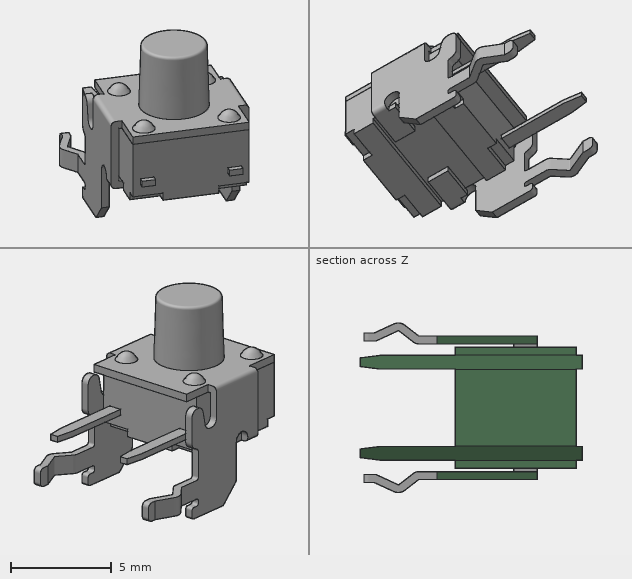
import cadquery as cq
import math


sheet = 0.41
cover_half_y = 3.56
leg_inner_y = cover_half_y - sheet
bend_radius = 0.25
plate_left = -3.75
wing_left = -2.11
wing_right = 1.08

base_half = 3.0
base_top = -sheet
base_bottom = -3.3
foot_height = 0.4
foot_bottom = base_bottom - foot_height
foot_inner_x = 1.35
foot_outer_x = 2.49
toe_half_y = 1.44

button_base_radius = 1.75
button_top_radius = 1.65
button_top = 3.34
button_round = 0.15
rivet_offset = 2.2
rivet_radius = 0.56
rivet_height = 0.41
rivet_crown_reach = 0.32

leg_left = -4.0
leg_right = -0.59
leg_bottom = -6.5
leg_chamfer = 1.0
finger_top = -0.68
finger_tip_right = -3.21
slot_bottom = -2.02
slot_bottom_left = -2.93
finger_round = 0.4
shoulder_left_z = -2.68
shoulder_right_z = -2.88
shoulder_inner_round = 0.2
neck_left = -3.51
neck_round = 0.14
hook_top = -5.88
hook_round = 0.15
relief_radius = 0.44
relief_x = leg_right + relief_radius
relief_z = -3.43
tab_left = -0.1
tab_inner_y = toe_half_y

arm_top = -4.51
arm_bottom = -5.51
arm_end = -7.51
arm_end_round = 0.25
first_fold_round = sheet
peak_outer_round = 0.54
peak_inner_round = 0.07
first_fold = (-4.81, cover_half_y)
peak_fold = (-5.8, 3.82)
last_fold = (-7.01, 3.71)

pin_left = -7.7
pin_right = 3.3
pin_taper_end = -6.71
pin_y = 2.25
pin_width = 0.69
pin_tip_width = 0.44
pin_top = -2.35
pin_thickness = 0.32

pick_margin = 0.01


def box(x_range, y_range, z_range):
    """Axis-aligned block given by its limits along X, Y and Z."""
    sides = [high - low for low, high in (x_range, y_range, z_range)]
    corner = (x_range[0], y_range[0], z_range[0])
    return cq.Workplane("XY").box(*sides, centered=False).translate(corner)


def make_pin(y):
    """Flat terminal lying along X, tapered to a narrower tip at its -X end."""
    half = pin_width / 2
    tip = pin_tip_width / 2
    outline = [
        (pin_left, -tip),
        (pin_taper_end, -half),
        (pin_right, -half),
        (pin_right, half),
        (pin_taper_end, half),
        (pin_left, tip),
    ]
    flat = cq.Workplane("XY").polyline(outline).close().extrude(-pin_thickness)
    return flat.translate((0, y, pin_top))


def make_rivet():
    """Rivet shank through the cover, with a domed head."""
    return (
        cq.Workplane("XZ")
        .moveTo(0, base_top)
        .lineTo(rivet_radius, base_top)
        .lineTo(rivet_radius, 0)
        .bezier([(rivet_crown_reach, rivet_height), (0, rivet_height)], includeCurrent=True)
        .close()
        .revolve(360, (0, 0, 0), (0, 1, 0))
    )


def make_button():
    """Tapered push button with a rounded top edge, rooted in the base."""
    profile = [
        (0, base_top),
        (button_base_radius, base_top),
        (button_base_radius, 0),
        (button_top_radius, button_top),
        (0, button_top),
    ]
    body = cq.Workplane("XZ").polyline(profile).close().revolve(360, (0, 0, 0), (0, 1, 0))
    return body.faces(">Z").edges().fillet(button_round)


def make_base():
    """Square block with two stepped feet, the button and the rivets."""
    full_y = (-base_half, base_half)
    toe_y = (-toe_half_y, toe_half_y)
    foot_z = (foot_bottom, base_bottom)
    base = box(full_y, full_y, (base_bottom, base_top))
    foot = box((foot_inner_x, foot_outer_x), full_y, foot_z)
    toe = box((foot_outer_x, base_half), toe_y, foot_z)
    right_foot = foot.union(toe)
    base = base.union(right_foot).union(right_foot.mirror("YZ")).union(make_button())
    rivet = make_rivet()
    for x in (-rivet_offset, rivet_offset):
        for y in (-rivet_offset, rivet_offset):
            base = base.union(rivet.translate((x, y, 0)))
    return base


def fillet_corners(body, direction, corners, radius):
    """Fillets the edges parallel to Y or Z that stand on the given (x, z) or (x, y) corners."""
    reach = 2 * abs(arm_end)
    for x, other in corners:
        low = [x - pick_margin, other - pick_margin]
        high = [x + pick_margin, other + pick_margin]
        place = 1 if direction == "|Y" else 2
        low.insert(place, -reach)
        high.insert(place, reach)
        body = body.edges(direction).edges(cq.selectors.BoxSelector(low, high)).fillet(radius)
    return body


def make_silhouette():
    """Leg as seen along Y, with its arm straight, deep enough to hold the arm's kink."""
    relief_right = relief_x + relief_radius
    finger_left = (leg_left, finger_top)
    finger_right = (finger_tip_right, finger_top)
    slot_left = (slot_bottom_left, slot_bottom)
    slot_right = (wing_left, slot_bottom)
    shoulder_left = (leg_left, shoulder_left_z)
    shoulder_right = (neck_left, shoulder_right_z)
    arm_root_top = (neck_left, arm_top)
    arm_end_top = (arm_end, arm_top)
    arm_end_bottom = (arm_end, arm_bottom)
    arm_root_bottom = (neck_left, arm_bottom)
    hook_root = (neck_left, hook_top)
    hook_tip = (leg_left, hook_top)
    hook_heel = (leg_left, leg_bottom)
    outline = [
        (wing_right, 0),
        (wing_left, 0),
        slot_right,
        slot_left,
        finger_right,
        finger_left,
        shoulder_left,
        shoulder_right,
        arm_root_top,
        arm_end_top,
        arm_end_bottom,
        arm_root_bottom,
        hook_root,
        hook_tip,
        hook_heel,
        (leg_right - leg_chamfer, leg_bottom),
        (leg_right, leg_bottom + leg_chamfer),
        (leg_right, relief_z),
    ]
    body = (
        cq.Workplane("XZ")
        .polyline(outline)
        .threePointArc((relief_x, relief_z + relief_radius), (relief_right, relief_z))
        .lineTo(relief_right, foot_bottom)
        .lineTo(wing_right, foot_bottom)
        .close()
        .extrude(-2 * cover_half_y)
    )
    finger_corners = [finger_left, finger_right, slot_left, slot_right, shoulder_left]
    body = fillet_corners(body, "|Y", finger_corners, finger_round)
    body = fillet_corners(body, "|Y", [shoulder_right], shoulder_inner_round)
    body = fillet_corners(body, "|Y", [arm_root_top, arm_root_bottom, hook_root], neck_round)
    body = fillet_corners(body, "|Y", [hook_tip, hook_heel], hook_round)
    return fillet_corners(body, "|Y", [arm_end_top, arm_end_bottom], arm_end_round)


def heading(start, end, swing):
    """Angle of a sloping stretch whose sharp end corners lie on opposite faces of the sheet."""
    dx = end[0] - start[0]
    dy = end[1] - start[1]
    return math.atan2(dy, dx) + swing * math.asin(sheet / math.hypot(dx, dy))


def mitre(fold, angle_in, angle_out, side):
    """Corner across the sheet from a sharp fold, on its outward (1) or inward (-1) side."""
    normal = (angle_in + angle_out) / 2 - math.pi / 2
    reach = side * sheet / math.cos((angle_out - angle_in) / 2)
    return fold[0] + reach * math.cos(normal), fold[1] + reach * math.sin(normal)


def make_strip():
    """Leg as seen from above: straight along the cover, then kinked outward along the arm."""
    straight = math.pi
    rising = heading(first_fold, peak_fold, -1)
    falling = heading(peak_fold, last_fold, 1)
    first_outside = mitre(first_fold, straight, rising, -1)
    peak_outside = mitre(peak_fold, rising, falling, 1)
    last_outside = mitre(last_fold, falling, straight, -1)
    outline = [
        (wing_right, cover_half_y),
        first_fold,
        peak_outside,
        last_fold,
        (arm_end, last_fold[1]),
        (arm_end, last_fold[1] - sheet),
        last_outside,
        peak_fold,
        first_outside,
        (wing_right, leg_inner_y),
    ]
    strip = cq.Workplane("XY").polyline(outline).close().extrude(leg_bottom)
    strip = fillet_corners(strip, "|Z", [first_outside], first_fold_round)
    strip = fillet_corners(strip, "|Z", [peak_fold], peak_inner_round)
    return fillet_corners(strip, "|Z", [peak_outside], peak_outer_round)


def make_side():
    """The +Y half of the folded metal: wing, leg, and the tab turned in under the base."""
    wing = box((wing_left, wing_right), (0, cover_half_y), (-sheet, 0))
    leg = make_silhouette().intersect(make_strip())
    tab = box((tab_left, wing_right), (tab_inner_y, leg_inner_y), (foot_bottom, base_bottom))
    side = wing.union(leg).union(tab)
    for bend_z in (0, foot_bottom):
        bend = cq.selectors.BoxSelector(
            (wing_left - pick_margin, cover_half_y - pick_margin, bend_z - pick_margin),
            (wing_right + pick_margin, cover_half_y + pick_margin, bend_z + pick_margin),
        )
        side = side.edges("|X").edges(bend).fillet(bend_radius)
    return side


def make_cover(base):
    """Top plate with both folded sides, pierced where the button and rivets pass through."""
    plate = box((plate_left, base_half), (-base_half, base_half), (-sheet, 0))
    side = make_side()
    return plate.union(side).union(side.mirror("XZ")).cut(base)


solid_base = make_base()
cover = make_cover(solid_base)
pins = [make_pin(y) for y in (-pin_y, pin_y)]

base = solid_base
for pin in pins:
    base = base.cut(pin)

result = cq.Compound.makeCompound([base.val(), cover.val(), *[pin.val() for pin in pins]])